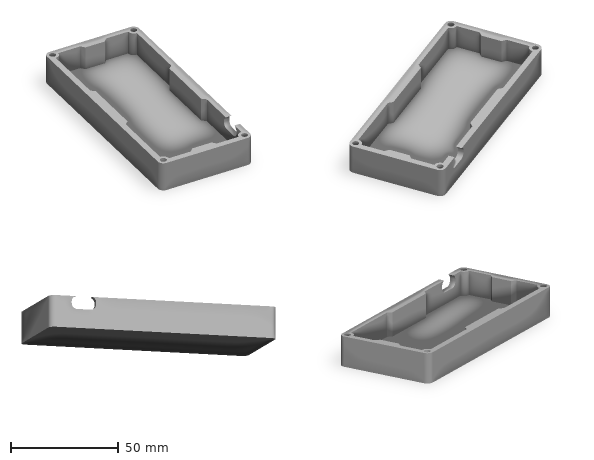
import cadquery as cq
import math

LENGTH = 110.6
WIDTH = 49.5
HEIGHT = 15.0
WALL = 3.0
FLOOR = 3.0
CAVITY_DEPTH = HEIGHT - FLOOR
CAVITY_LENGTH = LENGTH - 2 * WALL
CAVITY_WIDTH = WIDTH - 2 * WALL

CORNER_RADIUS = WALL
POST_RADIUS = 3.0
HOLE_DIAMETER = 3.2
HOLE_DEPTH = CAVITY_DEPTH

PAD_DEPTH = 2.0
PAD_RUN = 1.8
LONG_PAD_FACE = 30.1
SHORT_PAD_FACE = 10.4

CUTOUT_CENTER_X = 38.8
CUTOUT_WIDTH = 12.0
CUTOUT_CORNER_RADIUS = 2.7
CUTOUT_DEPTH = 6.1
CUTOUT_OPENING = 8.0


def corner_points():
    """Screw axes at the four corners of the cavity."""
    x = CAVITY_LENGTH / 2
    y = CAVITY_WIDTH / 2
    return [(-x, -y), (x, -y), (x, y), (-x, y)]


def wall_pad(face, angle, wall_distance):
    """Trapezoidal pad on the inside of the wall that lies in direction `angle`."""
    half_face = face / 2
    half_base = half_face + PAD_RUN
    root = wall_distance + WALL / 2
    outline = [
        (-half_base, root),
        (-half_base, wall_distance),
        (-half_face, wall_distance - PAD_DEPTH),
        (half_face, wall_distance - PAD_DEPTH),
        (half_base, wall_distance),
        (half_base, root),
    ]
    pad = cq.Workplane("XY").workplane(offset=FLOOR).polyline(outline).close().extrude(CAVITY_DEPTH)
    return pad.rotate((0, 0, 0), (0, 0, 1), angle)


def cavity():
    """Rectangular pocket, less the wall pads and the corner posts."""
    floor_plane = cq.Workplane("XY").workplane(offset=FLOOR)
    pocket = floor_plane.rect(CAVITY_LENGTH, CAVITY_WIDTH).extrude(CAVITY_DEPTH)
    pocket = pocket.cut(floor_plane.pushPoints(corner_points()).circle(POST_RADIUS).extrude(CAVITY_DEPTH))
    for angle in (0, 180):
        pocket = pocket.cut(wall_pad(LONG_PAD_FACE, angle, CAVITY_WIDTH / 2))
    for angle in (90, 270):
        pocket = pocket.cut(wall_pad(SHORT_PAD_FACE, angle, CAVITY_LENGTH / 2))
    return pocket


def connector_cutout():
    """Rounded rectangle through the wall, whose upper corners meet the top face at the opening width."""
    overhang = CUTOUT_OPENING / 2 - (CUTOUT_WIDTH / 2 - CUTOUT_CORNER_RADIUS)
    crown = CUTOUT_CORNER_RADIUS - math.sqrt(CUTOUT_CORNER_RADIUS**2 - overhang**2)
    cutout_height = CUTOUT_DEPTH + crown
    center_z = HEIGHT - CUTOUT_DEPTH + cutout_height / 2
    return (
        cq.Workplane("XZ", origin=(CUTOUT_CENTER_X, WIDTH / 2, center_z))
        .rect(CUTOUT_WIDTH, cutout_height)
        .extrude(WALL)
        .edges("|Y")
        .fillet(CUTOUT_CORNER_RADIUS)
    )


block = cq.Workplane("XY").box(LENGTH, WIDTH, HEIGHT, centered=(True, True, False))
block = block.edges("|Z").fillet(CORNER_RADIUS)
screw_holes = (
    cq.Workplane("XY")
    .workplane(offset=HEIGHT - HOLE_DEPTH)
    .pushPoints(corner_points())
    .circle(HOLE_DIAMETER / 2)
    .extrude(HOLE_DEPTH)
)

result = block.cut(cavity()).cut(screw_holes).cut(connector_cutout())